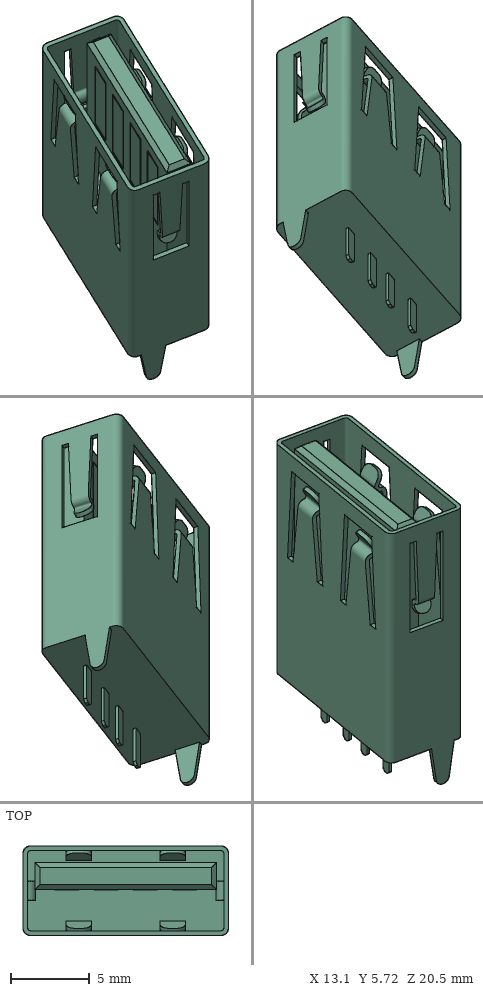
import cadquery as cq
import math

shell_x = 13.1
shell_y = 5.72
total_height = 20.5
leg_length = 3.0
shell_top = total_height - leg_length

wall = 0.3
corner_radius = 0.51
inner_corner_radius = corner_radius - wall
cavity_depth = 12.01
cavity_floor = shell_top - cavity_depth

tongue_x = 11.55
tongue_front = 0.08
tongue_back = 1.78
tongue_top_gap = 0.25
tongue_top = shell_top - tongue_top_gap
tongue_chamfer = 0.3

contact_count = 4
contact_pitch = 2.5
contact_width = 1.5
contact_thickness = 0.05
contact_top = shell_top - 1.5
contact_length = 6.0

window_top = shell_top - 1.2
window_bottom = shell_top - 8.02
face_window_top_width = 3.08
face_window_bottom_width = 3.98
face_spring_x = 3.0
side_window_width = 2.52

spring_turn = 85.0
spring_flare = 28.0
spring_tip_radius = 0.57
face_spring_root_width = 2.75
face_spring_width = 1.65
face_spring_straight = 4.45
face_spring_length = 5.97
face_spring_bend = 0.18
side_spring_root_width = 1.6
side_spring_width = 1.23
side_spring_straight = 4.65
side_spring_length = 5.86
side_spring_bend = 0.12

leg_y = -1.25
leg_top_width = 1.75
leg_tip_width = 1.0
leg_tip_height = 0.45

pin_positions = (-3.5, -1.0, 1.0, 3.5)
pin_y = 0.96
pin_width = 0.68
pin_thickness = 0.2
pin_length = 2.93
pin_tip_chamfer = 0.2


def make_shell():
    body = cq.Workplane("XY").box(shell_x, shell_y, shell_top, centered=(True, True, False))
    body = body.edges("|Z").fillet(corner_radius)
    cavity = (
        cq.Workplane("XY", origin=(0, 0, cavity_floor))
        .box(shell_x - 2 * wall, shell_y - 2 * wall, cavity_depth, centered=(True, True, False))
        .edges("|Z")
        .fillet(inner_corner_radius)
    )
    return body.cut(cavity)


def make_tongue():
    depth = tongue_back - tongue_front
    tongue = (
        cq.Workplane("XY", origin=(0, (tongue_front + tongue_back) / 2, cavity_floor))
        .box(tongue_x, depth, tongue_top - cavity_floor, centered=(True, True, False))
        .faces(">Z")
        .chamfer(tongue_chamfer)
    )
    for index in range(contact_count):
        x = (index - (contact_count - 1) / 2) * contact_pitch
        pad = cq.Workplane("XY").box(contact_width, 2 * contact_thickness, contact_length)
        tongue = tongue.union(pad.translate((x, tongue_front, contact_top - contact_length / 2)))
    return tongue


def trapezoid_window(bottom_width, top_width):
    """Window cutter through one wall whose outer face lies at Y = 0, inside toward +Y."""
    return (
        cq.Workplane("XZ")
        .polyline([
            (-bottom_width / 2, window_bottom),
            (bottom_width / 2, window_bottom),
            (top_width / 2, window_top),
            (-top_width / 2, window_top),
        ])
        .close()
        .extrude(-wall)
    )


def spring_section(straight, length, inside_bend):
    """Side section (inward distance, height): flat root, S-bend inward, then a tip flared outward."""
    turn = math.radians(spring_turn)
    flare = math.radians(spring_flare)
    outside_bend = inside_bend + wall

    def first_bend(radius, angle):
        return (outside_bend - radius * math.cos(angle), straight + radius * math.sin(angle))

    peak_height = straight + (inside_bend + outside_bend) * math.sin(turn)
    fold_center = outside_bend - (inside_bend + outside_bend) * math.cos(turn)

    def second_bend(radius, angle):
        return (fold_center + radius * math.cos(angle), peak_height + radius * math.sin(angle))

    outer_end = second_bend(inside_bend, flare)
    tip_run = (length - outer_end[1]) / math.cos(flare)
    inner_end = second_bend(outside_bend, flare)
    tip_shift = (-tip_run * math.sin(flare), tip_run * math.cos(flare))
    outer_tip = (outer_end[0] + tip_shift[0], outer_end[1] + tip_shift[1])
    inner_tip = (inner_end[0] + tip_shift[0], inner_end[1] + tip_shift[1])
    middle = (flare - turn) / 2

    return (
        cq.Workplane("YZ")
        .moveTo(0, 0)
        .lineTo(0, straight)
        .threePointArc(first_bend(outside_bend, turn / 2), first_bend(outside_bend, turn))
        .threePointArc(second_bend(inside_bend, middle), outer_end)
        .lineTo(*outer_tip)
        .lineTo(*inner_tip)
        .lineTo(*inner_end)
        .threePointArc(second_bend(outside_bend, middle), second_bend(outside_bend, -turn))
        .threePointArc(first_bend(inside_bend, turn / 2), (wall, straight))
        .lineTo(wall, 0)
        .close()
    )


def make_spring(root_width, width, straight, length, inside_bend):
    """Finger rising from Z = 0, outer face at Y = 0 and bent toward +Y."""
    bent_strip = spring_section(straight, length, inside_bend).extrude(root_width / 2, both=True)
    tip_top = bent_strip.val().BoundingBox().zmax
    reach = bent_strip.val().BoundingBox().ymax
    outline = (
        cq.Workplane("XZ")
        .polyline([
            (-root_width / 2, 0),
            (root_width / 2, 0),
            (width / 2, straight),
            (width / 2, tip_top),
            (-width / 2, tip_top),
            (-width / 2, straight),
        ])
        .close()
        .extrude(-reach)
    )
    flare = math.radians(spring_flare)
    tip_corners = cq.selectors.ParallelDirSelector(cq.Vector(0, math.cos(flare), math.sin(flare)))
    return bent_strip.intersect(outline).edges(tip_corners).fillet(spring_tip_radius)


def turn_to_narrow_wall(part):
    """Turn a part made for a wall facing -Y so that it sits in the -X wall."""
    return part.rotate((0, 0, 0), (0, 0, 1), -90).translate((-shell_x / 2, 0, 0))


def make_leg():
    """Tapered leg with a rounded tip, hanging below Z = 0; its outer face lies at X = 0."""
    tip_start = leg_tip_height - leg_length
    return (
        cq.Workplane("YZ")
        .moveTo(-leg_top_width / 2, 0)
        .lineTo(-leg_tip_width / 2, tip_start)
        .threePointArc((0, -leg_length), (leg_tip_width / 2, tip_start))
        .lineTo(leg_top_width / 2, 0)
        .close()
        .extrude(wall)
    )


def make_pin():
    return (
        cq.Workplane("XY")
        .box(pin_width, pin_thickness, pin_length, centered=(True, True, False))
        .translate((0, 0, -pin_length))
        .edges("<Z and |Y")
        .chamfer(pin_tip_chamfer)
    )


face_window = trapezoid_window(face_window_bottom_width, face_window_top_width)
face_spring = make_spring(
    face_spring_root_width, face_spring_width, face_spring_straight, face_spring_length, face_spring_bend
).translate((0, 0, window_bottom))

side_window = trapezoid_window(side_window_width, side_window_width)
side_spring = (
    make_spring(
        side_spring_root_width, side_spring_width, side_spring_straight, side_spring_length, side_spring_bend
    )
    .mirror("XY")
    .translate((0, 0, window_top))
)

result = make_shell().union(make_tongue())

for x in (-face_spring_x, face_spring_x):
    window = face_window.translate((x, -shell_y / 2, 0))
    spring = face_spring.translate((x, -shell_y / 2, 0))
    result = result.cut(window).cut(window.mirror("XZ"))
    result = result.union(spring).union(spring.mirror("XZ"))

window = turn_to_narrow_wall(side_window)
result = result.cut(window).cut(window.mirror("YZ"))
leg = make_leg().translate((-shell_x / 2, leg_y, 0))
for part in (turn_to_narrow_wall(side_spring), leg):
    result = result.union(part).union(part.mirror("YZ"))

for x in pin_positions:
    result = result.union(make_pin().translate((x, pin_y, 0)))